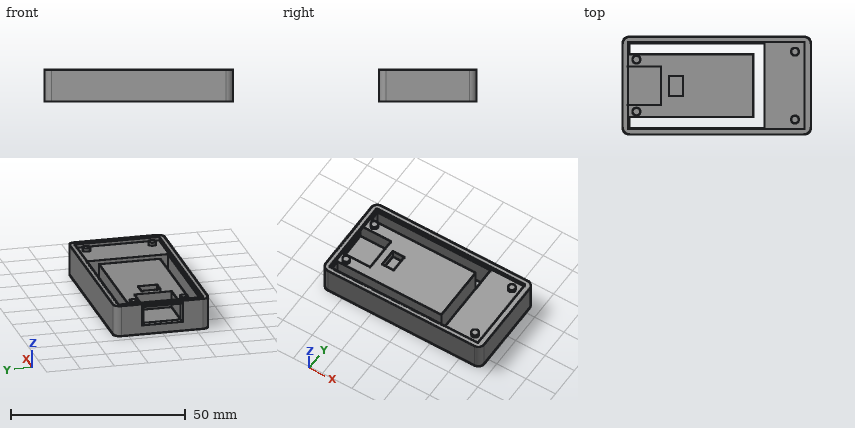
import cadquery as cq

length = 54.0
width = 28.0
height = 9.2
corner_radius = 2.0

wall = 1.5
end_wall = 1.85
recess_depth = 1.0
recess_left = -length / 2 + wall
recess_right = length / 2 - end_wall
recess_half_width = width / 2 - wall
floor_z = height - recess_depth

opening_left = -24.95
opening_right = 13.6
opening_half_width = 12.1
tongue_right = 10.5
tongue_half_width = 9.0

pocket_right = -16.0
pocket_half_width = 5.5
pocket_floor_z = 3.3
pocket_center_y = -0.1
port_flare = 0.55

relief_left = -13.65
relief_right = -9.7
relief_half_width = 2.8
relief_center_y = pocket_center_y
relief_depth = 2.6

pin_diameter = 2.2
pin_height = 0.9
left_pin_x = -23.0
left_pin_y = 7.45
right_pin_x = 22.4
right_pin_y = 9.7


def block(x_min, x_max, half_width, z_min, z_max, center_y=0.0):
    """Box between the given X and Z limits, centred on center_y."""
    return (
        cq.Workplane("XY")
        .box(x_max - x_min, 2 * half_width, z_max - z_min, centered=(False, True, False))
        .translate((x_min, center_y, z_min))
    )


def through_opening():
    opening = block(opening_left, opening_right, opening_half_width, 0, floor_z)
    tongue = block(opening_left, tongue_right, tongue_half_width, 0, floor_z)
    return opening.cut(tongue)


def port_flare_cutter():
    """45 degree flare that widens the port toward the outer face."""
    port_height = floor_z - pocket_floor_z
    return (
        cq.Workplane("YZ", origin=(-length / 2, pocket_center_y, (floor_z + pocket_floor_z) / 2))
        .rect(2 * (pocket_half_width + port_flare), port_height + 2 * port_flare)
        .workplane(offset=port_flare)
        .rect(2 * pocket_half_width, port_height)
        .loft(ruled=True)
    )


def pins(x, y):
    """Mirrored pair of pins standing on the recess floor."""
    return (
        cq.Workplane("XY", origin=(0, 0, floor_z))
        .pushPoints([(x, y), (x, -y)])
        .circle(pin_diameter / 2)
        .extrude(pin_height)
    )


case = cq.Workplane("XY").box(length, width, height, centered=(True, True, False))
case = case.edges("|Z").fillet(corner_radius)
case = case.cut(block(recess_left, recess_right, recess_half_width, floor_z, height))
case = case.cut(through_opening())

pocket = block(
    -length / 2, pocket_right, pocket_half_width, pocket_floor_z, floor_z, pocket_center_y
)
case = case.cut(pocket)
case = case.cut(port_flare_cutter())

relief_floor_z = floor_z - relief_depth
relief = block(relief_left, relief_right, relief_half_width, relief_floor_z, floor_z, relief_center_y)
case = case.cut(relief)

result = case.union(pins(left_pin_x, left_pin_y)).union(pins(right_pin_x, right_pin_y))